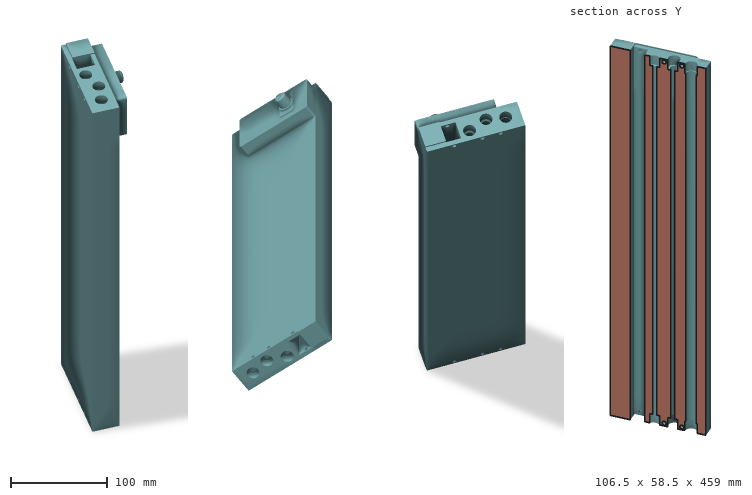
import cadquery as cq

length = 459.0
width = 106.5
overall_depth = 58.5

bar_depth = 29.5
end_step = 1.6
bar_bottom = end_step
bar_top = length - end_step

skin_thickness = 1.0
skin_recess = 0.5

strip_width = 22.5
strip_front = 5.5

channel_right = 38.5
channel_front = 5.0
channel_back = 25.0

bores = [(49.5, 11.0, 8.5), (69.8, 19.0, 8.5), (90.0, 15.0, 11.5)]
mouth_diameter = 13.5
mouth_depth = 11.5

cross_hole_diameter = 4.0
cross_hole_inset = 3.5
cross_hole_places = [30.0, 60.0, 80.0]

box_left = 0.5
box_right = 86.5
box_height = 53.5
box_back = 44.0
box_center_z = 422.0
box_corner_radius = 2.5

connector_x = 25.5
connector_z = 419.5
pad_width = 18.0
pad_height = 36.0
pad_back = 45.0
flange_diameter = 17.5
flange_back = 46.5
plug_diameter = 13.0
plug_chamfer = 1.5


def block(x_range, y_range, z_range):
    """Box spanning the given (low, high) ranges."""
    sizes = [high - low for low, high in (x_range, y_range, z_range)]
    corner = (x_range[0], y_range[0], z_range[0])
    return cq.Workplane("XY").box(*sizes, centered=False).translate(corner)


def rod_along_y(x, z, diameter, y_start, y_end):
    """Cylinder along Y between two depths."""
    plane = cq.Workplane("XZ", origin=(x, y_start, z))
    return plane.circle(diameter / 2).extrude(y_start - y_end)


def rod_along_z(x, y, diameter, z_start, z_end):
    """Cylinder along Z between two heights."""
    plane = cq.Workplane("XY", origin=(x, y, z_start))
    return plane.circle(diameter / 2).extrude(z_end - z_start)


def make_bar():
    bar = block((0, width), (0, bar_depth), (bar_bottom, bar_top))
    bar = bar.cut(block((0, skin_recess), (0, skin_thickness), (0, length)))
    bar = bar.union(block((0, strip_width), (strip_front, bar_depth), (0, length)))
    bar = bar.cut(block((strip_width, channel_right), (channel_front, channel_back), (0, length)))
    for x, y, diameter in bores:
        bar = bar.cut(rod_along_z(x, y, diameter, bar_bottom, bar_top))
        bar = bar.cut(rod_along_z(x, y, mouth_diameter, bar_bottom, bar_bottom + mouth_depth))
        bar = bar.cut(rod_along_z(x, y, mouth_diameter, bar_top - mouth_depth, bar_top))
    for x in cross_hole_places:
        for z in (bar_bottom + cross_hole_inset, bar_top - cross_hole_inset):
            bar = bar.cut(rod_along_y(x, z, cross_hole_diameter, 0, bar_depth))
    return bar


def make_terminal_box():
    z_range = (box_center_z - box_height / 2, box_center_z + box_height / 2)
    box = block((box_left, box_right), (bar_depth, box_back), z_range)
    return box.edges("|Y").fillet(box_corner_radius)


def make_connector():
    pad = block(
        (connector_x - pad_width / 2, connector_x + pad_width / 2),
        (box_back, pad_back),
        (box_center_z - pad_height / 2, box_center_z + pad_height / 2),
    )
    flange = rod_along_y(connector_x, connector_z, flange_diameter, box_back, flange_back)
    plug = rod_along_y(connector_x, connector_z, plug_diameter, box_back, overall_depth)
    plug = plug.faces(">Y").chamfer(plug_chamfer)
    return pad.union(flange).union(plug)


result = make_bar().union(make_terminal_box()).union(make_connector())